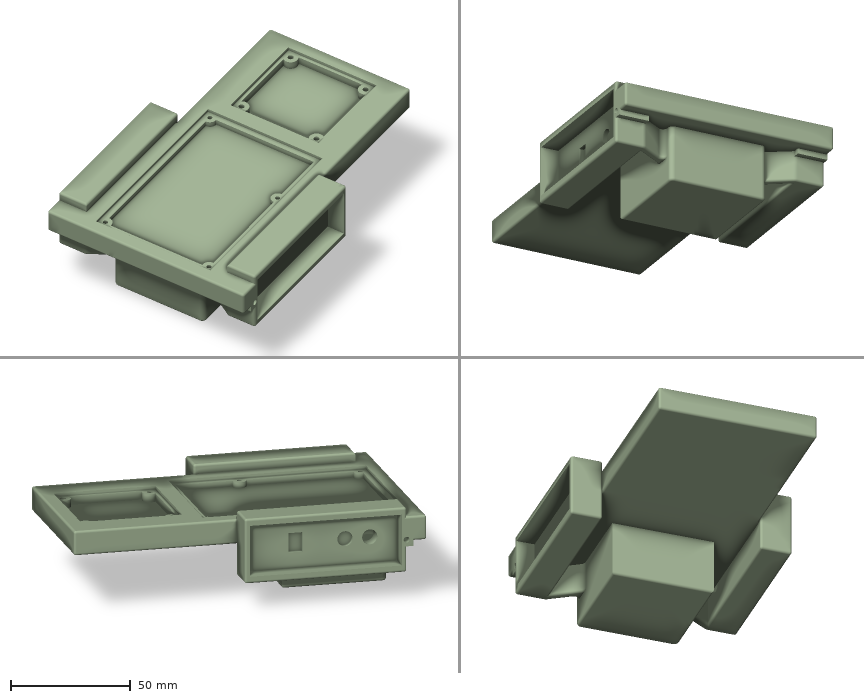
import cadquery as cq
import math

length = 148.5
width = 98.0
height = 39.2
edge_radius = 1.0

tongue_width = 70.0
plate_thickness = 10.5
plate_drop = 4.0
plate_top = height - plate_drop
plate_bottom = plate_top - plate_thickness

grip_front = 8.6
grip_back = 78.4
grip_bottom = 11.1
grip_mid_z = (grip_bottom + height) / 2
grip_inner_x = tongue_width / 2
grip_width = width / 2 - grip_inner_x
plate_step_y = grip_back - 2 * edge_radius

compartment_depth = 8.0
compartment_end_wall = 2.1
compartment_rim = 3.0
compartment_floor_x = width / 2 - compartment_depth

button_diameter = 6.5
through_depth = grip_width - compartment_depth
blind_depth = 2.1
button_holes = [(22.4, through_depth), (33.1, blind_depth)]
switch_y = 54.5
switch_length = 6.0
switch_height = 8.5

lug_size = 5.8
lug_front = 5.6
lug_hole_diameter = 2.5

box_width = 45.0
box_front = 10.1
box_length = 45.3
box_corner_radius = 2.1

arm_angle = math.radians(32)
arm_inset = 0.5
arm_start_x = grip_inner_x + arm_inset
arm_back_y = 21.0
front_root_radius = 2.0
back_root_radius = 3.0
nose_radius = 3.0

small_y = 120.4
small_outer = 44.0
small_inner = 41.0
small_hole_pitch = 37.4
small_hole_diameter = 2.5
small_boss_diameter = 6.5
large_width = 57.0
large_length = 85.4
large_front = 5.8
large_rim = 2.5
large_hole_x = 25.8
large_hole_ys = (8.9, 88.5)
large_side_hole_y = 61.2
large_hole_diameter = 2.1
large_boss_diameter = 6.0
step_depth = 1.5
small_depth = 5.0
large_depth = 4.0
screw_depth = 3.0


def box_between(x0, x1, y0, y1, z0, z1):
    """Axis-aligned box given by its limits."""
    return cq.Workplane("XY").box(x1 - x0, y1 - y0, z1 - z0, centered=False).translate((x0, y0, z0))


def both_sides(left):
    """The left-hand solid together with its mirror image."""
    return left.union(left.mirror("YZ"))


def make_plate():
    """T-shaped plate with every outer edge rounded."""
    front = box_between(-width / 2, width / 2, 0, plate_step_y, plate_bottom, plate_top)
    tongue = box_between(-tongue_width / 2, tongue_width / 2, 0, length, plate_bottom, plate_top)
    plate = front.union(tongue).edges("|Z").fillet(edge_radius)
    return plate.faces("<Z or >Z").edges().fillet(edge_radius)


def make_grip_top():
    """Left grip from the underside of the plate upwards; its inner front corner stays sharp."""
    block = box_between(-width / 2, -grip_inner_x, grip_front, grip_back, plate_bottom, height)
    block = block.edges("|Z and (<X or >Y)").fillet(edge_radius)
    return block.faces(">Z").edges().fillet(edge_radius)


def make_grip_base():
    """Left grip below the plate, with the slanted arm that runs from it to the box.

    A stub of the outline reaches into the box so that the roots can be rounded against its wall.
    """
    wall_x = box_width / 2
    slope = math.tan(arm_angle)
    front_root_y = grip_front + (arm_start_x - wall_x) * slope
    arm_back_start_y = arm_back_y - (grip_inner_x - wall_x) * slope
    stub_front = box_front + box_corner_radius
    stub_back = box_front + box_length / 2
    outline = [
        (-width / 2, grip_front),
        (-arm_start_x, grip_front),
        (-wall_x, front_root_y),
        (-wall_x, stub_front),
        (0, stub_front),
        (0, stub_back),
        (-wall_x, stub_back),
        (-wall_x, arm_back_y),
        (-grip_inner_x, arm_back_start_y),
        (-grip_inner_x, grip_back),
        (-width / 2, grip_back),
    ]
    base = cq.Workplane("XY", origin=(0, 0, grip_bottom)).polyline(outline).close()
    base = base.extrude(plate_bottom - grip_bottom)
    base = base.edges("|Z").edges("<X or >Y").fillet(edge_radius)

    def corner(x, y):
        """Selects the upright edge at this plan position."""
        return cq.NearestToPointSelector((x, y, (plate_bottom + grip_bottom) / 2))

    base = base.edges(corner(-arm_start_x, grip_front)).fillet(nose_radius)
    base = base.edges(corner(-wall_x, front_root_y)).fillet(front_root_radius)
    base = base.edges(corner(-wall_x, arm_back_y)).fillet(back_root_radius)
    return base.faces("<Z").edges().fillet(edge_radius)


def make_lug():
    """Left hinge lug, running back into the grip."""
    y_back = grip_front + compartment_end_wall
    z_low = grip_mid_z - lug_size / 2
    return box_between(-width / 2, -grip_inner_x, lug_front, y_back, z_low, z_low + lug_size)


def make_box():
    """Box under the plate with rounded front corners and bottom edges."""
    box = box_between(-box_width / 2, box_width / 2, box_front, box_front + box_length, 0, plate_bottom)
    return box.edges("|Z and <Y").fillet(box_corner_radius).faces("<Z").edges().fillet(edge_radius)


def side_hole(center_y, diameter, x_start, depth):
    """Round cutter along +X at the grip's mid height, starting from x_start."""
    plane = cq.Workplane("YZ", origin=(x_start, center_y, grip_mid_z))
    return plane.circle(diameter / 2).extrude(depth)


def make_compartment():
    """Cutter for the left compartment."""
    return box_between(
        -width / 2,
        -compartment_floor_x,
        grip_front + compartment_end_wall,
        grip_back - compartment_end_wall,
        grip_bottom + compartment_rim,
        height - compartment_rim,
    )


def make_pocket(center_y, outer, inner, holes, boss_diameter, hole_diameter, pocket_depth):
    """Stepped pocket cutter that leaves screw bosses standing up to the step."""
    step_z = plate_top - step_depth
    floor_z = plate_top - pocket_depth
    upper = cq.Workplane("XY", origin=(0, center_y, step_z)).rect(*outer).extrude(step_depth)
    lower = cq.Workplane("XY", origin=(0, center_y, floor_z)).rect(*inner).extrude(step_z - floor_z)
    at_floor = cq.Workplane("XY", origin=(0, 0, floor_z)).pushPoints(holes)
    bosses = at_floor.circle(boss_diameter / 2).extrude(step_z - floor_z)
    screws = cq.Workplane("XY", origin=(0, 0, step_z)).pushPoints(holes)
    screws = screws.circle(hole_diameter / 2).extrude(-screw_depth)
    return upper.union(lower.cut(bosses)).union(screws)


result = make_plate().union(make_box())
for side_part in (make_grip_top(), make_grip_base(), make_lug()):
    result = result.union(both_sides(side_part))

pin_hole = side_hole(grip_front, lug_hole_diameter, -width / 2, grip_width)
result = result.cut(both_sides(make_compartment())).cut(both_sides(pin_hole))

for hole_y, hole_depth in button_holes:
    result = result.cut(side_hole(hole_y, button_diameter, -compartment_floor_x, hole_depth))
switch = cq.Workplane("YZ", origin=(-compartment_floor_x, switch_y, grip_mid_z))
result = result.cut(switch.rect(switch_length, switch_height).extrude(blind_depth))

half_pitch = small_hole_pitch / 2
small_holes = [(x, small_y + y) for x in (-half_pitch, half_pitch) for y in (-half_pitch, half_pitch)]
large_holes = [(-large_hole_x, y) for y in large_hole_ys]
large_holes += [(large_hole_x, y) for y in (large_hole_ys[0], large_side_hole_y)]
result = result.cut(
    make_pocket(
        small_y,
        (small_outer, small_outer),
        (small_inner, small_inner),
        small_holes,
        small_boss_diameter,
        small_hole_diameter,
        small_depth,
    )
)
result = result.cut(
    make_pocket(
        large_front + large_length / 2,
        (large_width, large_length),
        (large_width - 2 * large_rim, large_length - 2 * large_rim),
        large_holes,
        large_boss_diameter,
        large_hole_diameter,
        large_depth,
    )
)